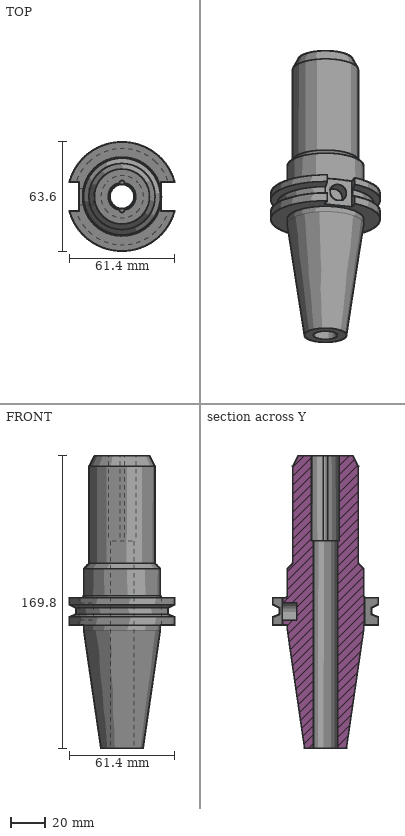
import cadquery as cq

total_height = 169.8
gauge_height = 68.5
gauge_radius = 22.3
taper_ratio = 7 / 24
tip_radius = gauge_radius - gauge_height * taper_ratio / 2

flange_radius = 31.8
flange_bottom = 71.5
flange_height = 16.0
flange_top = flange_bottom + flange_height
groove_mouth_bottom = 76.3
groove_floor_bottom = 77.8
groove_floor_top = 81.5
groove_mouth_top = 83.4
groove_floor_radius = 28.0

collar_radius = 22.3
collar_foot_radius = 23.0
collar_foot_height = 1.2
nose_radius = 19.2
collar_chamfer = collar_radius - nose_radius
collar_shoulder = 104.3
nose_tip_radius = 16.0
nose_chamfer_height = 6.3

slot_width = 16.6
slot_floor_left = 25.0
slot_floor_right = 22.8

chip_hole_height = 79.5
chip_hole_radius = 5.0
chip_hole_depth = 8.2

through_radius = 7.0
clamp_radius = 8.0
clamp_depth = 49.3
bore_groove_radius = 1.4


def make_body():
    """Revolve the half profile about the Z axis."""
    profile = [
        (0, 0),
        (tip_radius, 0),
        (gauge_radius, gauge_height),
        (gauge_radius, flange_bottom),
        (flange_radius, flange_bottom),
        (flange_radius, groove_mouth_bottom),
        (groove_floor_radius, groove_floor_bottom),
        (groove_floor_radius, groove_floor_top),
        (flange_radius, groove_mouth_top),
        (flange_radius, flange_top),
        (collar_foot_radius, flange_top),
        (collar_radius, flange_top + collar_foot_height),
        (collar_radius, collar_shoulder),
        (nose_radius, collar_shoulder + collar_chamfer),
        (nose_radius, total_height - nose_chamfer_height),
        (nose_tip_radius, total_height),
        (0, total_height),
    ]
    return cq.Workplane("XZ").polyline(profile).close().revolve(360, (0, 0), (0, 1))


def make_drive_slot(side, floor_distance):
    """Cutter on the +X (side=1) or -X (side=-1) side, reaching in to floor_distance."""
    return (
        cq.Workplane("XY")
        .box(flange_radius, slot_width, flange_height, centered=(True, True, False))
        .translate((side * (floor_distance + flange_radius / 2), 0, flange_bottom))
    )


def make_chip_hole():
    """Cylinder running inward along +X from the left slot floor."""
    return (
        cq.Workplane("YZ", origin=(-slot_floor_left, 0, chip_hole_height))
        .circle(chip_hole_radius)
        .extrude(chip_hole_depth)
    )


def make_bore():
    """Through bore, wider clamping bore at the top and its two grooves."""
    through = cq.Workplane("XY").circle(through_radius).extrude(total_height)
    top_plane = cq.Workplane("XY", origin=(0, 0, total_height))
    clamp = top_plane.circle(clamp_radius).extrude(-clamp_depth)
    grooves = (
        top_plane.pushPoints([(0, clamp_radius), (0, -clamp_radius)])
        .circle(bore_groove_radius)
        .extrude(-clamp_depth)
    )
    return through.union(clamp).union(grooves)


result = (
    make_body()
    .cut(make_drive_slot(-1, slot_floor_left))
    .cut(make_drive_slot(1, slot_floor_right))
    .cut(make_chip_hole())
    .cut(make_bore())
)